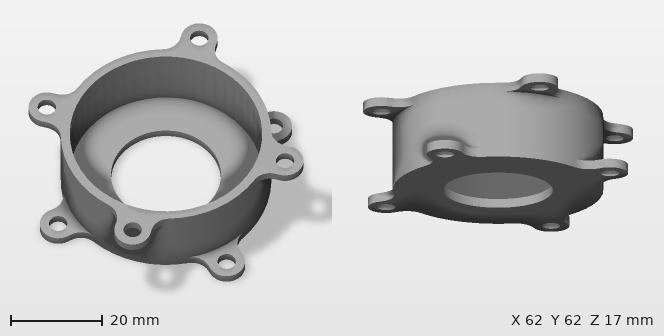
import cadquery as cq
import math

outer_radius = 23.0
bore_radius = 21.0
height = 17.0
floor_thickness = 2.0
floor_hole_radius = 12.0

lug_count = 4
lug_thickness = 2.0
lug_radius = 4.0
lug_hole_radius = 2.0
lug_circle_radius = 27.0
lug_fillet_radius = 4.0
bottom_lug_start_angle = 0.0
top_lug_start_angle = 45.0


def make_housing():
    """Round cup with a central hole through its floor."""
    body = cq.Workplane("XY").circle(outer_radius).extrude(height)
    bore = cq.Workplane("XY", origin=(0, 0, floor_thickness)).circle(bore_radius).extrude(height)
    floor_hole = cq.Workplane("XY").circle(floor_hole_radius).extrude(floor_thickness)
    return body.cut(bore).cut(floor_hole)


def make_lug():
    """Lug pointing along +X, blended into the housing wall by tangent arcs."""
    blend_center_y = lug_radius + lug_fillet_radius
    blend_center_distance = outer_radius + lug_fillet_radius
    blend_center_x = math.sqrt(blend_center_distance**2 - blend_center_y**2)
    blend_center_angle = math.atan2(blend_center_y, blend_center_x)

    wall_x = outer_radius * math.cos(blend_center_angle)
    wall_y = outer_radius * math.sin(blend_center_angle)

    mid_angle = (math.pi + blend_center_angle + 3 * math.pi / 2) / 2
    mid_x = blend_center_x + lug_fillet_radius * math.cos(mid_angle)
    mid_y = blend_center_y + lug_fillet_radius * math.sin(mid_angle)

    root_radius = (outer_radius + bore_radius) / 2
    root_x = root_radius * math.cos(blend_center_angle)
    root_y = root_radius * math.sin(blend_center_angle)

    return (
        cq.Workplane("XY")
        .moveTo(root_x, -root_y)
        .lineTo(wall_x, -wall_y)
        .threePointArc((mid_x, -mid_y), (blend_center_x, -lug_radius))
        .lineTo(lug_circle_radius, -lug_radius)
        .threePointArc((lug_circle_radius + lug_radius, 0), (lug_circle_radius, lug_radius))
        .lineTo(blend_center_x, lug_radius)
        .threePointArc((mid_x, mid_y), (wall_x, wall_y))
        .lineTo(root_x, root_y)
        .threePointArc((root_radius, 0), (root_x, -root_y))
        .close()
        .moveTo(lug_circle_radius, 0)
        .circle(lug_hole_radius)
        .extrude(lug_thickness)
    )


def add_lug_ring(part, base_z, start_angle):
    """Add equally spaced lugs whose undersides lie at base_z."""
    for index in range(lug_count):
        angle = start_angle + index * 360.0 / lug_count
        lug = make_lug().rotate((0, 0, 0), (0, 0, 1), angle)
        part = part.union(lug.translate((0, 0, base_z)))
    return part


housing = make_housing()
housing_with_bottom_lugs = add_lug_ring(housing, 0, bottom_lug_start_angle)
result = add_lug_ring(housing_with_bottom_lugs, height - lug_thickness, top_lug_start_angle)